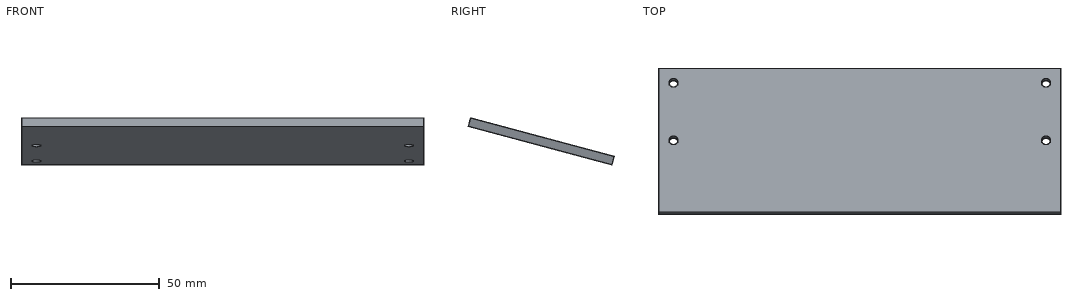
import cadquery as cq

length = 135.0
width = 50.0
thickness = 3.0
tilt_angle = 15.0

hole_diameter = 3.0
edge_distance = 5.0
hole_spacing = 20.0

hole_x = length / 2 - edge_distance
outer_hole_y = width / 2 - edge_distance
inner_hole_y = outer_hole_y - hole_spacing
hole_centers = [(x, y) for x in (-hole_x, hole_x) for y in (inner_hole_y, outer_hole_y)]

flat_plate = (
    cq.Workplane("XY")
    .box(length, width, thickness)
    .faces(">Z")
    .workplane()
    .pushPoints(hole_centers)
    .hole(hole_diameter)
)

result = flat_plate.rotate((0, 0, 0), (1, 0, 0), -tilt_angle)